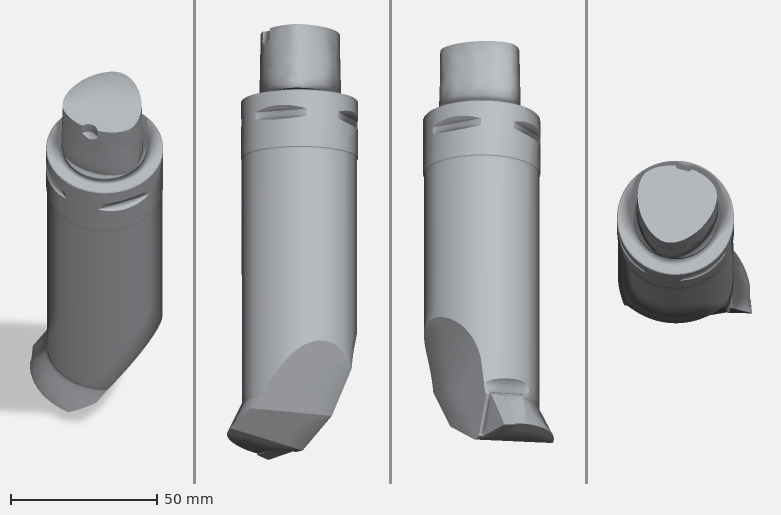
import cadquery as cq
import math

total_height = 144
collar_diameter = 40.0
collar_top = 120.0
collar_height = 20.0
collar_bottom = collar_top - collar_height
collar_chamfer = 0.3
shank_diameter = 39.5
shank_radius = shank_diameter / 2
flare_top = 14.3
flare_angle = 26
flare_bottom_radius = shank_radius + flare_top * math.tan(math.radians(flare_angle))

coupling_bottom = 121.7
coupling_top_radius = 13.5
coupling_bottom_radius = 14.0
lobe_height = 0.94
lobe_count = 3
profile_points = 48
neck_radius = 13.1
neck_collar_radius = 14.4
neck_collar_top = 120.8
recess_radius = 15.8
recess_depth = 0.6

notch_radius = 3.2
notch_center_y = -13.8
notch_rim_z = 140.1
notch_point_depth = 2.3

slot_count = 4
slot_first_angle = 45
slot_floor_radius = 17.7
slot_floor_bottom = 110.9
slot_floor_top = 113.3
slot_lower_flare = 1.2
slot_upper_flare = 1.5

steep_cut_start = 32.7
steep_cut_angle = 30.7
cut_corner_z = 9.8
shallow_cut_angle = 32.3
end_face_z = 1.0
end_face_slope = 0.13

chip_turn = 11.8
chip_lean = 5.8
chip_offset = 9.4
runout_start = 24.2
runout_radius = 30.2
runout_sweep = 60

insert_side = 16.1
insert_thickness = 4.9
insert_clearance = 7
insert_nose_radius = 0.7
insert_turn = 2
insert_corner = (-27.4, 0.0, -0.05)
flank_angle = 59
flank_inset = 0.6
flank_depth = 13.0
flank_length = 16.4

groove_diameter = 5.8
groove_point = (-19.2, -8.6, 17.4)

cut_size = 57.6


def lobed_point(angle, mean_radius):
    """Point of a lobed outline whose support distance varies as a cosine."""
    lobe_angle = lobe_count * (angle - math.pi / 2)
    distance = mean_radius + lobe_height * math.cos(lobe_angle)
    slope = -lobe_count * lobe_height * math.sin(lobe_angle)
    return (
        distance * math.cos(angle) - slope * math.sin(angle),
        distance * math.sin(angle) + slope * math.cos(angle),
    )


def lobed_wire(mean_radius, z):
    step = 2 * math.pi / profile_points
    points = [cq.Vector(*lobed_point(i * step, mean_radius), z) for i in range(profile_points)]
    return cq.Wire.assembleEdges([cq.Edge.makeSpline(points, periodic=True)])


def make_coupling():
    sections = [
        lobed_wire(coupling_bottom_radius, coupling_bottom),
        lobed_wire(coupling_top_radius, total_height),
    ]
    coupling = cq.Workplane(cq.Solid.makeLoft(sections))
    notch = (
        cq.Workplane("XZ", origin=(0, notch_center_y, notch_rim_z))
        .polyline([
            (0, -notch_point_depth),
            (notch_radius, 0),
            (notch_radius, total_height - notch_rim_z),
            (0, total_height - notch_rim_z),
        ])
        .close()
        .revolve(360, (0, 0), (0, 1))
    )
    return coupling.cut(notch)


def make_round_shank():
    collar_radius = collar_diameter / 2
    return (
        cq.Workplane("XZ")
        .polyline([
            (0, 0),
            (flare_bottom_radius, 0),
            (shank_radius, flare_top),
            (shank_radius, collar_bottom),
            (collar_radius, collar_bottom + collar_chamfer),
            (collar_radius, collar_top - collar_chamfer),
            (collar_radius - collar_chamfer, collar_top),
            (recess_radius, collar_top),
            (neck_collar_radius, collar_top - recess_depth),
            (neck_collar_radius, neck_collar_top),
            (neck_radius, coupling_bottom),
            (0, coupling_bottom),
        ])
        .close()
        .revolve(360, (0, 0), (0, 1))
    )


def make_gripper_slot(angle):
    depth = collar_diameter / 2 - slot_floor_radius
    return (
        cq.Workplane("XZ")
        .polyline([
            (slot_floor_radius, slot_floor_bottom),
            (slot_floor_radius + depth, slot_floor_bottom - slot_lower_flare),
            (slot_floor_radius + depth, slot_floor_top + slot_upper_flare),
            (slot_floor_radius, slot_floor_top),
        ])
        .close()
        .extrude(cut_size / 2, both=True)
        .rotate((0, 0, 0), (0, 0, 1), angle)
    )


def make_side_cut():
    """Everything beyond the steep and shallow faces on the +X side."""
    steep_run = (steep_cut_start - cut_corner_z) * math.tan(math.radians(steep_cut_angle))
    corner_x = shank_radius - steep_run
    shallow_run = cut_corner_z / math.tan(math.radians(shallow_cut_angle))
    return (
        cq.Workplane("XZ")
        .polyline([
            (shank_radius, steep_cut_start),
            (corner_x, cut_corner_z),
            (corner_x - shallow_run, 0),
            (cut_size, 0),
            (cut_size, steep_cut_start),
        ])
        .close()
        .extrude(cut_size, both=True)
    )


def make_end_cut():
    """Everything below the sloped end face."""
    rise = end_face_slope * cut_size
    return (
        cq.Workplane("YZ")
        .polyline([
            (-cut_size, end_face_z + rise),
            (cut_size, end_face_z - rise),
            (cut_size, -cut_size),
            (-cut_size, -cut_size),
        ])
        .close()
        .extrude(cut_size, both=True)
    )


def make_chip_cut():
    """Everything in front of the chip face and its curved runout."""
    lean = math.radians(chip_lean)

    def runout_point(degrees):
        angle = lean + math.radians(degrees)
        return (
            chip_offset + runout_radius * (math.cos(lean) - math.cos(angle)),
            runout_start + runout_radius * (math.sin(angle) - math.sin(lean)),
        )

    foot = (chip_offset - runout_start * math.tan(lean), 0)
    runout_end = runout_point(runout_sweep)
    return (
        cq.Workplane("YZ")
        .moveTo(*foot)
        .lineTo(chip_offset, runout_start)
        .threePointArc(runout_point(runout_sweep / 2), runout_end)
        .lineTo(cut_size, runout_end[1])
        .lineTo(cut_size, 0)
        .close()
        .extrude(cut_size, both=True)
        .rotate((0, 0, 0), (0, 0, 1), chip_turn)
    )


def chip_plane(origin):
    """Plane parallel to the chip face, with its normal pointing into the shank."""
    turn = math.radians(chip_turn)
    lean = math.radians(chip_lean)
    inward = (
        math.sin(turn) * math.cos(lean),
        -math.cos(turn) * math.cos(lean),
        math.sin(lean),
    )
    return cq.Plane(origin=origin, xDir=(math.cos(turn), math.sin(turn), 0), normal=inward)


insert_plane = chip_plane(insert_corner).rotated((0, 0, insert_turn))


def insert_outline():
    """Equilateral triangle with rounded corners, its first corner at the plane origin."""
    apex = (insert_side / 2, insert_side * math.sqrt(3) / 2)
    corners = [(0, 0), (insert_side, 0), apex, (0, 0)]
    triangle = cq.Sketch().polygon(corners).vertices().fillet(insert_nose_radius)
    return cq.Workplane(insert_plane).placeSketch(triangle)


def make_insert():
    return insert_outline().extrude(insert_thickness, taper=insert_clearance)


def make_seat():
    """Insert pocket, open through to the chip face."""
    return insert_outline().extrude(-insert_thickness)


def make_flank_cut():
    """Flat flank behind the insert, set in from its outer edge."""
    edge_plane = insert_plane.rotated((0, 0, flank_angle))
    return (
        cq.Workplane(edge_plane)
        .rect(flank_length, cut_size, centered=False)
        .extrude(flank_depth)
        .translate(edge_plane.yDir * -flank_inset)
    )


def make_relief_groove():
    groove_plane = chip_plane(groove_point)
    return cq.Workplane(groove_plane).circle(groove_diameter / 2).extrude(cut_size / 2, both=True)


insert = make_insert()

holder = make_round_shank().union(make_coupling())
for index in range(slot_count):
    holder = holder.cut(make_gripper_slot(slot_first_angle + index * 360 / slot_count))
holder = holder.cut(make_side_cut()).cut(make_end_cut()).cut(make_chip_cut())
holder = holder.cut(make_flank_cut()).cut(make_relief_groove())
holder = holder.cut(make_seat()).cut(insert)

result = cq.Compound.makeCompound([*holder.solids().vals(), insert.val()])